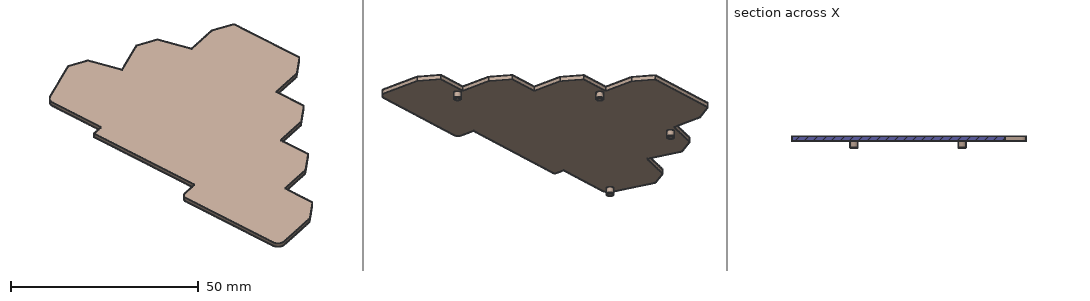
import cadquery as cq
import math

length = 87.5
width = 62.5
plate_thickness = 1.3
total_height = 3.2

step_run = 12.3
step_drop = 14.5
step_count = 3
clip_run = 3.2
clip_rise = 5.5
top_tab_width = 28.3

tilt = 15.0
tilted_clip_angle = 225.0 + tilt
tilted_edge = 9.8
tilted_side = 10.2
tilted_clip = 6.1

left_foot_y = 8.75
middle_foot_y = 5.6
middle_left_x = 21.4
right_foot_x = 54.95
corner_radius = 2.2
small_corner_radius = 1.3

pin_diameter = 2.1
pin_chamfer = 0.3
pin_centers = [(5.25, 11.3), (20.9, 45.6), (50.6, 45.9), (75.2, 17.1)]


def move(point, distance, angle):
    """Return the point reached by travelling along a direction in degrees."""
    direction = math.radians(angle)
    return (point[0] + distance * math.cos(direction), point[1] + distance * math.sin(direction))


def right_staircase():
    """Clipped steps from the top tab down to the right end."""
    points = []
    for step in range(step_count + 1):
        x = length - (step_count - step) * step_run
        y = width - step * step_drop
        points += [(x - clip_run, y), (x, y - clip_rise)]
        if step < step_count:
            points.append((x, y - step_drop))
    return points


def left_staircase(start):
    """Tilted steps from the top tab down to the lower left corner."""
    upper_shoulder = move(start, tilted_edge, 180 + tilt)
    upper_tip = move(upper_shoulder, tilted_clip, tilted_clip_angle)
    notch = move(upper_tip, tilted_side, 270 + tilt)
    lower_shoulder = move(notch, tilted_edge, 180 + tilt)
    tip_y = lower_shoulder[1] - lower_shoulder[0] * math.tan(math.radians(tilted_clip_angle - 180))
    corner_x = (tip_y - left_foot_y) * math.tan(math.radians(tilt))
    return [upper_shoulder, upper_tip, notch, lower_shoulder, (0, tip_y), (corner_x, left_foot_y)]


def round_corner(plate, point, radius):
    """Round the upright plate edge closest to a point of the outline."""
    nearest = cq.selectors.NearestToPointSelector((point[0], point[1], plate_thickness / 2))
    return plate.edges("|Z").edges(nearest).fillet(radius)


def make_plate():
    top_tab_left = length - step_count * step_run - top_tab_width
    tab_root = (top_tab_left, width - step_drop)
    left_points = left_staircase(tab_root)
    lower_left = left_points[-1]
    lower_edge = [
        (middle_left_x, left_foot_y),
        (middle_left_x, middle_foot_y),
        (right_foot_x, middle_foot_y),
        (right_foot_x, 0),
        (length, 0),
    ]
    top_left_clip = [(top_tab_left + clip_run, width), (top_tab_left, width - clip_rise)]
    outline = top_left_clip + [tab_root] + left_points + lower_edge + right_staircase()[::-1]
    plate = cq.Workplane("XY").polyline(outline).close().extrude(plate_thickness)
    plate = round_corner(plate, lower_left, corner_radius)
    plate = round_corner(plate, (length, 0), corner_radius)
    return round_corner(plate, (right_foot_x, 0), small_corner_radius)


def make_pins():
    pin_length = total_height - plate_thickness
    pins = cq.Workplane("XY").pushPoints(pin_centers).circle(pin_diameter / 2).extrude(-pin_length)
    return pins.faces("<Z").chamfer(pin_chamfer)


result = make_plate().union(make_pins())